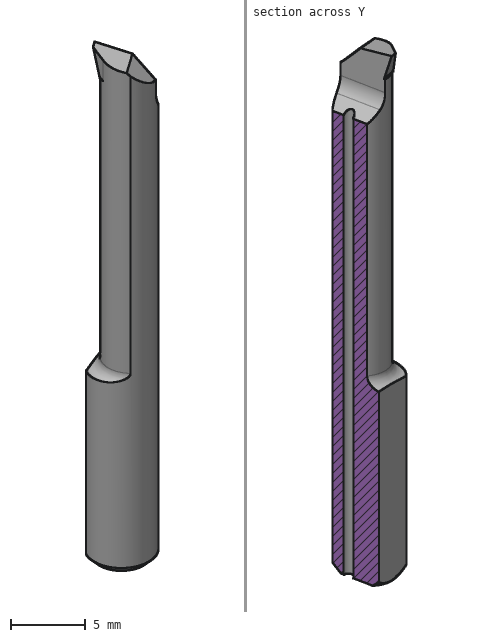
import cadquery as cq
import math

total_length = 40.0
shank_radius = 2.5
shank_length = 15.0
flat_x = -1.94
end_chamfer = 0.6

neck_axis_x = 0.75
neck_radius = 2.14
root_fillet = 0.85
root_band = 0.05
oversize = 12.0

cut_face_y = 0.0
relief_angle = 45.0
relief_exit_y = 2.15
relief_exit_z = 34.2
relief_radius = 1.6

head_base_z = 38.05
tip_base_x = -1.3
top_break_x = 0.8
top_break_z = 39.7
flank_top_y = -0.5
flank_end_x = -0.55
flank_end_y = -math.sqrt(neck_radius**2 - (flank_end_x - neck_axis_x)**2)
side_clearance = 0.2
top_clearance = 0.12

coolant_diameter = 0.8
coolant_x = 0.7
coolant_y = 1.3


def neck_bar(length):
    """Round bar on the neck axis, standing on Z = 0."""
    return cq.Workplane("XY").center(neck_axis_x, 0).circle(neck_radius).extrude(length)


def make_envelope():
    """Full-length shank outline with its chamfered end and flat."""
    bar = cq.Workplane("XY").circle(shank_radius).extrude(total_length)
    bar = bar.faces("<Z").chamfer(end_chamfer)
    keep = cq.Workplane("XY").box(oversize, oversize, total_length, centered=(False, True, False))
    return bar.intersect(keep.translate((flat_x, 0, 0)))


def make_body(envelope):
    """Shank and neck joined by a concave root fillet."""
    block = cq.Workplane("XY").box(oversize, oversize, shank_length, centered=(True, True, False))
    neck = neck_bar(head_base_z)
    root_edge = cq.selectors.BoxSelector(
        (neck_axis_x - neck_radius, -neck_radius, shank_length - root_band),
        (neck_axis_x + neck_radius, neck_radius, shank_length + root_band),
    )
    stepped = block.union(neck).edges(root_edge).fillet(root_fillet)
    return stepped.intersect(envelope)


def make_relief_cutter():
    """Removes the +Y half of the tip, with a rounded run-out."""
    angle = math.radians(relief_angle)
    corner_z = relief_exit_z + (relief_exit_y - cut_face_y) / math.tan(angle)
    tangent = relief_radius * math.tan(angle / 2)
    arc_start = (cut_face_y, corner_z + tangent)
    arc_end = (cut_face_y + tangent * math.sin(angle), corner_z - tangent * math.cos(angle))
    outer_y = cut_face_y + oversize
    outer_z = corner_z - oversize / math.tan(angle)
    return (
        cq.Workplane("YZ")
        .moveTo(cut_face_y, total_length)
        .lineTo(*arc_start)
        .radiusArc(arc_end, -relief_radius)
        .lineTo(outer_y, outer_z)
        .lineTo(outer_y, total_length)
        .close()
        .extrude(oversize, both=True)
    )


def make_head(envelope):
    """Pointed head whose end and side faces fall away behind the cutting edge."""
    depth = 2 * shank_radius
    chamfer_end_x = top_break_x + oversize / 2
    chamfer_end_z = top_break_z - oversize / 2
    slope = (tip_base_x - flat_x) / (total_length - head_base_z)
    lower_x = flat_x + slope * (total_length - chamfer_end_z)
    front = [
        (flat_x, total_length),
        (top_break_x, top_break_z),
        (chamfer_end_x, chamfer_end_z),
        (lower_x, chamfer_end_z),
    ]
    near = cq.Wire.makePolygon([cq.Vector(x, cut_face_y, z) for x, z in front], close=True)
    clearance = cq.Vector(side_clearance * depth, -depth, -top_clearance * depth)
    wedge = cq.Workplane(cq.Solid.extrudeLinear(near, [], clearance))

    height = total_length - head_base_z
    plan = [
        (flat_x, cut_face_y),
        (flat_x, flank_top_y),
        (flank_end_x, flank_end_y),
        (neck_axis_x, cut_face_y),
    ]
    nose = cq.Workplane("XY").polyline(plan).close().extrude(height)
    column = neck_bar(height).union(nose)
    return column.translate((0, 0, head_base_z)).intersect(wedge).intersect(envelope)


envelope = make_envelope()
coolant_hole = (
    cq.Workplane("XY").center(coolant_x, coolant_y).circle(coolant_diameter / 2).extrude(total_length)
)
result = make_body(envelope).cut(make_relief_cutter()).union(make_head(envelope)).cut(coolant_hole)